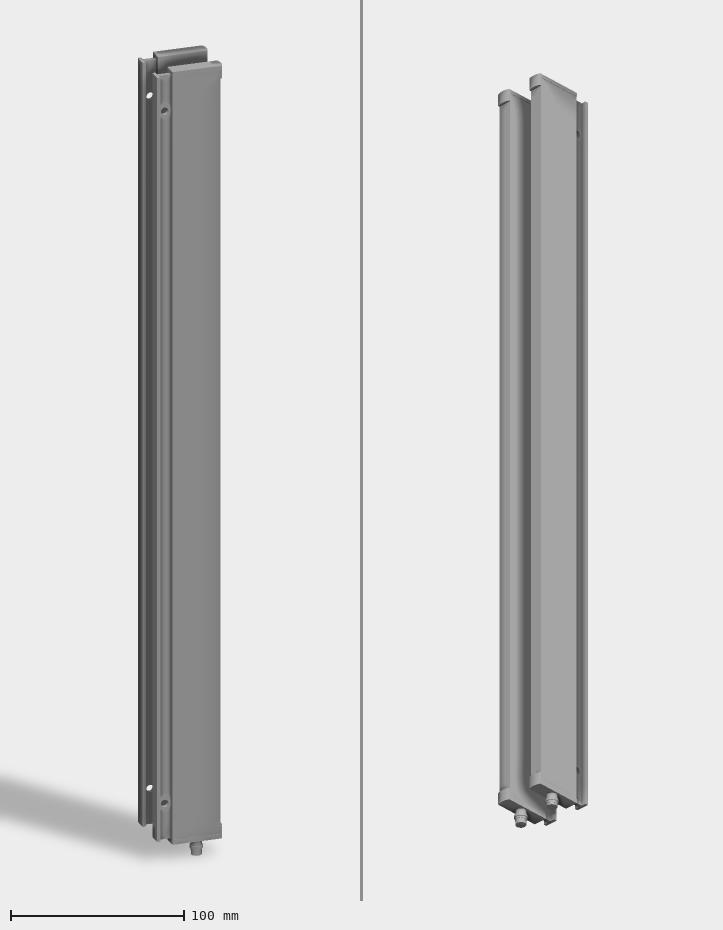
import cadquery as cq

bar_width = 8.5
bar_pitch = 25.0
housing_depth = 29.5
web_width = 2.5
web_depth = 7.5
flange_thickness = 2.0
housing_length = 475.0

top_cap_height = 2.5
bottom_cap_height = 3.0
cap_width = 9.0
tab_height = 8.0
tab_step = 1.0
tab_bulge = 1.0

hole_diameter = 4.5
top_hole_drop = 22.5
bottom_hole_rise = 22.0

neck_diameter = 6.5
neck_height = 2.0
shoulder_diameter = 7.0
shoulder_height = 1.5
collar_diameter = 8.0
collar_height = 1.5
plug_diameter = 6.5
left_plug_height = 1.5
right_plug_height = 3.0

housing_front = -housing_depth
flange_back = housing_front - web_depth
flange_front = flange_back - flange_thickness
web_middle = housing_front - web_depth / 2
connector_y = -13.0


def housing():
    """T-slotted profile: a deep box, a thin web and a front flange."""
    half_bar = bar_width / 2
    half_web = web_width / 2
    return (
        cq.Workplane("XY")
        .moveTo(-half_bar, 0)
        .lineTo(-half_bar, housing_front)
        .lineTo(-half_web, housing_front)
        .lineTo(-half_web, flange_back)
        .lineTo(-half_bar, flange_back)
        .lineTo(-half_bar, flange_front)
        .lineTo(half_bar, flange_front)
        .lineTo(half_bar, flange_back)
        .lineTo(half_web, flange_back)
        .lineTo(half_web, housing_front)
        .lineTo(half_bar, housing_front)
        .lineTo(half_bar, 0)
        .close()
        .extrude(housing_length)
    )


def end_cap(outer_z, inner_z, tab_end_z):
    """Plate over the box end, with a curved tab hooking over the back."""
    half_cap = cap_width / 2
    plate = (
        cq.Workplane("XY", origin=(0, housing_front / 2, outer_z))
        .rect(cap_width, housing_depth)
        .extrude(inner_z - outer_z)
    )
    tab = (
        cq.Workplane("XY", origin=(0, 0, outer_z))
        .moveTo(-half_cap, 0)
        .lineTo(-half_cap, tab_step)
        .threePointArc((0, tab_step + tab_bulge), (half_cap, tab_step))
        .lineTo(half_cap, 0)
        .close()
        .extrude(tab_end_z - outer_z)
    )
    return plate.union(tab)


def web_hole(z):
    """Mounting hole running across the bar, in the middle of the web."""
    return (
        cq.Workplane("YZ", origin=(-bar_width / 2, web_middle, z))
        .circle(hole_diameter / 2)
        .extrude(bar_width)
    )


def connector(plug_height):
    """Turned connector: stacked discs hanging from the bottom cap."""
    discs = [
        (neck_diameter, neck_height),
        (shoulder_diameter, shoulder_height),
        (collar_diameter, collar_height),
        (shoulder_diameter, shoulder_height),
        (plug_diameter, plug_height),
    ]
    stack = cq.Workplane("XY")
    disc_top = -bottom_cap_height
    for diameter, height in discs:
        disc = (
            cq.Workplane("XY", origin=(0, connector_y, disc_top))
            .circle(diameter / 2)
            .extrude(-height)
        )
        stack = stack.union(disc)
        disc_top -= height
    return stack


def bar(x, plug_height):
    """One complete bar, centred on the given X."""
    top = housing_length + top_cap_height
    return (
        housing()
        .union(end_cap(top, housing_length, top - tab_height))
        .union(end_cap(-bottom_cap_height, 0, tab_height - bottom_cap_height))
        .union(connector(plug_height))
        .cut(web_hole(housing_length - top_hole_drop))
        .cut(web_hole(bottom_hole_rise))
        .translate((x, 0, 0))
    )


bars = []
for side, plug_height in [(-1, left_plug_height), (1, right_plug_height)]:
    bars.append(bar(side * bar_pitch / 2, plug_height).val())

result = cq.Compound.makeCompound(bars)